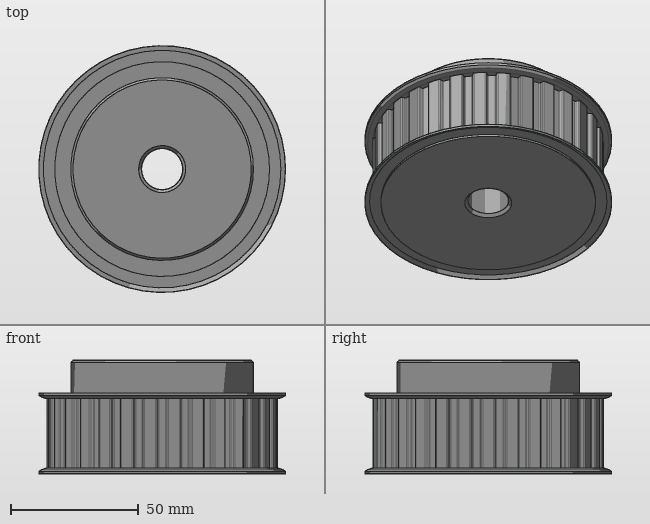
import cadquery as cq
import math

overall_height = 44.5
rim_height = 31.8

tooth_count = 30
tip_radius = 45.1
groove_depth = 1.8
groove_floor_width = 3.0
groove_flank_angle = 20.0
groove_floor_fillet = 0.4
tooth_tip_fillet = 0.6
root_radius = tip_radius - groove_depth

flange_radius = 48.3
flange_height = 2.3
lip_edge_height = 1.1
bend_inner_radius = 45.4
bend_outer_radius = 47.2
bend_outer_height = 1.7
recess_depth = 1.0
recess_inner_radius = 42.0
recess_outer_radius = 46.4

hub_radius = 35.7
hub_chamfer = 0.9
bore_radius = 8.0
bore_chamfer = 1.2


def make_toothed_rim():
    """Cylinder between the flanges with straight trapezoidal belt grooves and rounded teeth."""
    belt_width = rim_height - 2 * flange_height
    rim = cq.Workplane("XY").workplane(offset=flange_height).circle(tip_radius).extrude(belt_width)

    flank_slope = math.tan(math.radians(groove_flank_angle))
    half_floor = groove_floor_width / 2
    half_mouth = half_floor + (flange_radius - root_radius) * flank_slope
    groove = (
        cq.Workplane("XY")
        .workplane(offset=flange_height)
        .polyline([
            (root_radius, -half_floor),
            (flange_radius, -half_mouth),
            (flange_radius, half_mouth),
            (root_radius, half_floor),
        ])
        .close()
        .extrude(belt_width)
        .edges("|Z and <X")
        .fillet(groove_floor_fillet)
    )

    pitch_angle = 360 / tooth_count
    for index in range(tooth_count):
        angle = (index + 0.5) * pitch_angle
        rim = rim.cut(groove.rotate((0, 0, 0), (0, 0, 1), angle))

    mid_depth_radius = (tip_radius + root_radius) / 2
    tooth_corners = rim.edges("|Z").filter(
        lambda edge: math.hypot(edge.Center().x, edge.Center().y) > mid_depth_radius
    )
    return rim.newObject(tooth_corners.vals()).fillet(tooth_tip_fillet)


def make_flange():
    """Lower flange, with its lip edge at Z = 0 and its inner face upwards."""
    return (
        cq.Workplane("XZ")
        .polyline([
            (0, 0),
            (recess_inner_radius, 0),
            (recess_inner_radius, recess_depth),
            (recess_outer_radius, recess_depth),
            (flange_radius, 0),
            (flange_radius, lip_edge_height),
            (bend_outer_radius, bend_outer_height),
            (bend_inner_radius, flange_height),
            (0, flange_height),
        ])
        .close()
        .revolve(360, (0, 0, 0), (0, 1, 0))
    )


def make_hub():
    """Plain hub above the upper flange, chamfered around its top edge."""
    return (
        cq.Workplane("XY")
        .workplane(offset=rim_height)
        .circle(hub_radius)
        .extrude(overall_height - rim_height)
        .faces(">Z")
        .chamfer(hub_chamfer)
    )


def make_bore():
    """Through bore, countersunk at both ends."""
    mouth_radius = bore_radius + bore_chamfer
    return (
        cq.Workplane("XZ")
        .polyline([
            (0, 0),
            (mouth_radius, 0),
            (bore_radius, bore_chamfer),
            (bore_radius, overall_height - bore_chamfer),
            (mouth_radius, overall_height),
            (0, overall_height),
        ])
        .close()
        .revolve(360, (0, 0, 0), (0, 1, 0))
    )


lower_flange = make_flange()
upper_flange = lower_flange.mirror("XY").translate((0, 0, rim_height))
result = make_toothed_rim().union(lower_flange).union(upper_flange).union(make_hub()).cut(make_bore())